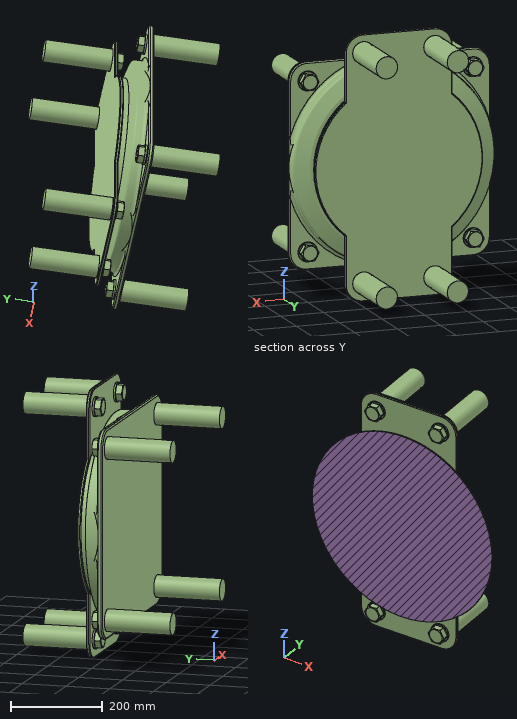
import cadquery as cq
import math

stack_depth = 69.0

square_side = 470.0
square_thickness = 12.0

long_width = 250.0
long_height = 604.0
long_thickness = 8.0
flange_diameter = 392.0

plate_corner_radius = 40.0
square_chamfer = 3.0
long_chamfer = 2.0

pot_diameter = square_side
pot_rim_y = 38.0
pot_rim_fillet = 5.0
cone_top_diameter = 400.0
cone_top_y = 49.0
neck_diameter = 384.0
weld_radius = 8.0
weld_bevel_angle = 30.0

pin_diameter = 50.0
pin_length = 150.0
pin_edge_distance = 42.0
washer_diameter = 44.0
washer_thickness = 4.0
hex_across_flats = 36.0
hex_height = 15.0
hex_crown_diameter = 33.2
hex_crown_angle = 20.0

long_plate_inner_y = stack_depth - long_thickness
pot_foot_y = square_thickness - square_chamfer


def cylinder_along_y(diameter, y_start, y_end):
    """Solid cylinder on the Y axis between two Y positions."""
    return (
        cq.Workplane("XZ", origin=(0, y_start, 0))
        .circle(diameter / 2)
        .extrude(y_start - y_end)
    )


def rounded_plate(width, height, y_start, thickness, chamfer):
    """Plate with round corners and both outlines chamfered."""
    return (
        cq.Workplane("XY")
        .box(width, thickness, height)
        .edges("|Y")
        .fillet(plate_corner_radius)
        .faces("<Y or >Y")
        .chamfer(chamfer)
        .translate((0, y_start + thickness / 2, 0))
    )


def make_flange():
    """Round flange flush with the long plate, chamfered like it."""
    flange = cylinder_along_y(flange_diameter, long_plate_inner_y, stack_depth)
    return flange.faces("<Y or >Y").chamfer(long_chamfer)


def make_pot():
    """Pot body: cylinder, rounded rim, shallow cone and neck."""
    pot_radius = pot_diameter / 2
    body = (
        cq.Workplane("XY")
        .moveTo(0, pot_foot_y)
        .lineTo(pot_radius, pot_foot_y)
        .lineTo(pot_radius, pot_rim_y)
        .lineTo(cone_top_diameter / 2, cone_top_y)
        .lineTo(0, cone_top_y)
        .close()
        .revolve(360, (0, 0, 0), (0, 1, 0))
    )
    rim = cq.selectors.NearestToPointSelector((0, pot_rim_y, 0))
    body = body.edges("%CIRCLE").edges(rim).fillet(pot_rim_fillet)
    neck = cylinder_along_y(neck_diameter, cone_top_y, long_plate_inner_y)
    return body.union(neck)


def make_weld():
    """Concave weld round the foot of the pot, bevelled where it runs onto the plate's chamfers."""
    pot_radius = pot_diameter / 2
    inner_radius = pot_radius - weld_radius
    outer_radius = pot_radius + weld_radius
    weld_top_y = square_thickness + weld_radius
    arc_offset = weld_radius * (1 - math.sqrt(0.5))
    ring = (
        cq.Workplane("XY")
        .moveTo(inner_radius, pot_foot_y)
        .lineTo(outer_radius, pot_foot_y)
        .lineTo(outer_radius, square_thickness)
        .threePointArc(
            (pot_radius + arc_offset, square_thickness + arc_offset),
            (pot_radius, weld_top_y),
        )
        .lineTo(inner_radius, weld_top_y)
        .close()
        .revolve(360, (0, 0, 0), (0, 1, 0))
    )
    bevel = (
        cq.Workplane("XZ", origin=(0, pot_foot_y, 0))
        .rect(square_side, square_side)
        .extrude(pot_foot_y - weld_top_y, taper=weld_bevel_angle)
    )
    return ring.intersect(bevel)


def make_bolt():
    """Washer and crowned hexagon head standing on Y = 0 and pointing to +Y."""
    washer = cylinder_along_y(washer_diameter, 0, washer_thickness)
    head_end = washer_thickness + hex_height
    corner_diameter = hex_across_flats / math.cos(math.pi / 6)
    head = (
        cq.Workplane("XZ", origin=(0, washer_thickness, 0))
        .polygon(6, corner_diameter)
        .extrude(-hex_height)
    )
    crown_radius = hex_crown_diameter / 2
    corner_radius = corner_diameter / 2
    crown_drop = (corner_radius - crown_radius) * math.tan(math.radians(hex_crown_angle))
    crown = (
        cq.Workplane("XY")
        .lineTo(corner_radius, 0)
        .lineTo(corner_radius, head_end - crown_drop)
        .lineTo(crown_radius, head_end)
        .lineTo(0, head_end)
        .close()
        .revolve(360, (0, 0, 0), (0, 1, 0))
    )
    return washer.union(head.intersect(crown))


def corner_points(width, height):
    """X and Z of the four pins of a plate of the given size."""
    x = width / 2 - pin_edge_distance
    z = height / 2 - pin_edge_distance
    return [(x, z), (-x, z), (-x, -z), (x, -z)]


square_plate = rounded_plate(square_side, square_side, 0, square_thickness, square_chamfer)
long_plate = rounded_plate(long_width, long_height, long_plate_inner_y, long_thickness, long_chamfer)
result = square_plate.union(long_plate)
result = result.union(make_flange()).union(make_pot()).union(make_weld())

square_pin = cylinder_along_y(pin_diameter, -pin_length, 0)
square_bolt = make_bolt().translate((0, square_thickness, 0))
for x, z in corner_points(square_side, square_side):
    result = result.union(square_pin.translate((x, 0, z)))
    result = result.union(square_bolt.translate((x, 0, z)))

long_pin = cylinder_along_y(pin_diameter, stack_depth, stack_depth + pin_length)
long_bolt = make_bolt().rotate((0, 0, 0), (0, 0, 1), 180).translate((0, long_plate_inner_y, 0))
for x, z in corner_points(long_width, long_height):
    result = result.union(long_pin.translate((x, 0, z)))
    result = result.union(long_bolt.translate((x, 0, z)))